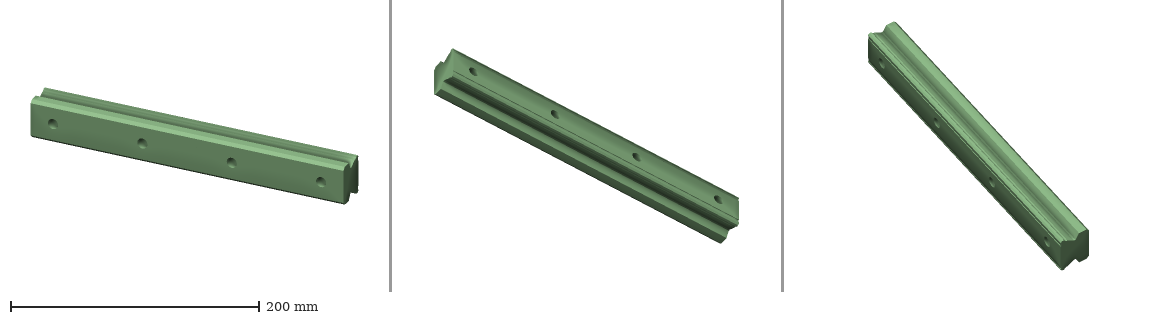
import cadquery as cq
import math

RAIL_LENGTH = 280.0
RAIL_HEIGHT = 27.5
RAIL_WIDTH = 34.0
HALF_WIDTH = RAIL_WIDTH / 2

BASE_CHAMFER = 2.5
FLANK_START = 9.7
FLANK_ANGLE = 60.0

GROOVE_DEPTH = 5.8
GROOVE_FLOOR_END = 14.5
SHOULDER_ANGLE = 30.0

TRACK_RADIUS = 3.0
TRACK_START = 21.0
TRACK_END = 24.1

HEAD_CHAMFER = 1.4
RECESS_DEPTH = 0.6
RECESS_WIDTH = 3.2
RECESS_OFFSET = 2.3

HOLE_DIAMETER = 9.0
HOLE_PITCH = 80.0
HOLE_COUNT = 4


def side_outline():
    """Return the corner points (height, Z) of the +Z side up to the ball track."""
    floor_z = HALF_WIDTH - GROOVE_DEPTH
    floor_start = FLANK_START + GROOVE_DEPTH / math.tan(math.radians(FLANK_ANGLE))
    shoulder_rise = (TRACK_START - GROOVE_FLOOR_END) * math.tan(math.radians(SHOULDER_ANGLE))
    return [
        (0, HALF_WIDTH - BASE_CHAMFER),
        (BASE_CHAMFER, HALF_WIDTH),
        (FLANK_START, HALF_WIDTH),
        (floor_start, floor_z),
        (GROOVE_FLOOR_END, floor_z),
        (TRACK_START, floor_z + shoulder_rise),
    ]


def make_half_rail():
    """Extrude the +Z half of the rail section along X, with the base at Y = 0."""
    sketch = cq.Workplane("YZ", origin=(-RAIL_LENGTH / 2, 0, 0)).moveTo(0, 0)
    for height, z in side_outline():
        sketch = sketch.lineTo(height, z)
    recess_outer = HALF_WIDTH - RECESS_OFFSET
    recess_inner = recess_outer - RECESS_WIDTH
    recess_floor = RAIL_HEIGHT - RECESS_DEPTH
    return (
        sketch.radiusArc((TRACK_END, HALF_WIDTH), -TRACK_RADIUS)
        .lineTo(RAIL_HEIGHT - HEAD_CHAMFER, HALF_WIDTH)
        .lineTo(RAIL_HEIGHT, HALF_WIDTH - HEAD_CHAMFER)
        .lineTo(RAIL_HEIGHT, recess_outer)
        .lineTo(recess_floor, recess_outer)
        .lineTo(recess_floor, recess_inner)
        .lineTo(RAIL_HEIGHT, recess_inner)
        .lineTo(RAIL_HEIGHT, 0)
        .close()
        .extrude(RAIL_LENGTH)
    )


def make_mounting_holes():
    """Return the row of through-hole cylinders, centred along the rail."""
    return (
        cq.Workplane("XZ")
        .rarray(HOLE_PITCH, 1, HOLE_COUNT, 1)
        .circle(HOLE_DIAMETER / 2)
        .extrude(-RAIL_HEIGHT)
    )


half_rail = make_half_rail()
rail = half_rail.union(half_rail.mirror("XY")).clean()
result = rail.cut(make_mounting_holes())